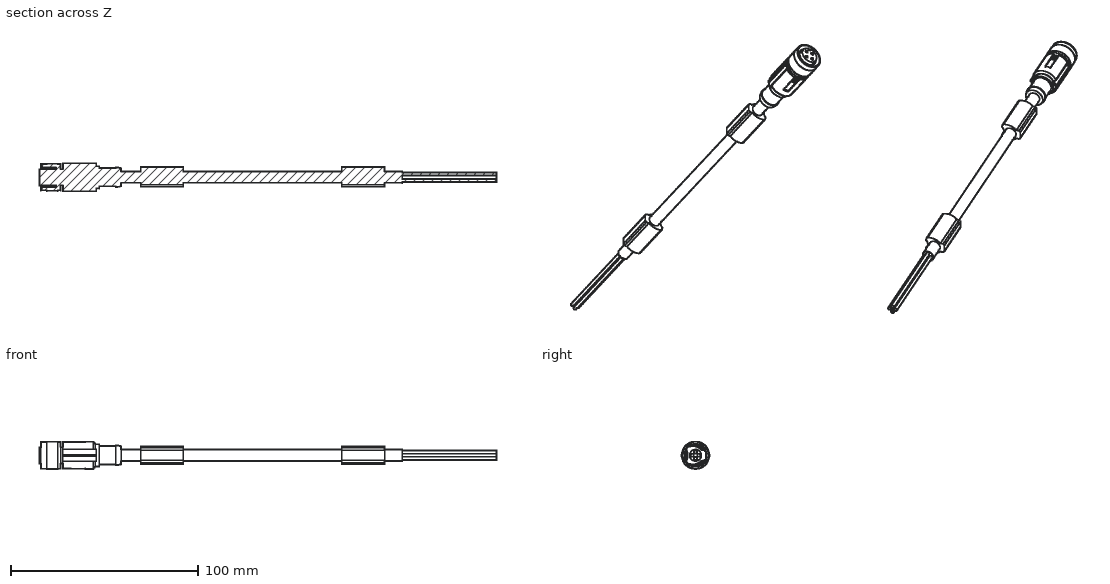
import cadquery as cq

TOTAL_LENGTH = 244.0
NUT_START = 0.8
NUT_BAND_START = 3.9
NUT_BAND_END = 9.8
NUT_END = 11.4
BODY_START = 12.6
CHAMFER_START = 28.8
CHAMFER_END = 29.8
BODY_END = 30.5
FLANGE_END = 32.0
BEAD_START = 40.8
BEAD_FLAT_END = 41.5
BOOT_END = 43.6
HOLDER_STARTS = (54.0, 161.3)
HOLDER_LENGTH = 22.9
JACKET_END = 193.7

NUT_RADIUS = 7.2
NUT_BAND_RADIUS = 7.35
NUT_MOUTH_RADIUS = 6.7
NUT_BORE_RADIUS = 5.1
NUT_MOUTH_DEPTH = 0.9
NUT_BORE_END = 9.0
INSERT_RADIUS = 4.4
CONTACT_COUNT = 4
CONTACT_START_ANGLE = 45
CONTACT_CIRCLE_RADIUS = 2.5
CONTACT_DIAMETER = 1.4
CONTACT_DEPTH = 6.0
KEYWAY_WIDTH = 1.2
KEYWAY_DEPTH = 0.7

BODY_RADIUS = 7.35
BODY_TAIL_RADIUS = 6.2
SIDE_PAD_RADIUS = 7.0
SIDE_PAD_HALF_HEIGHT = 3.2
SIDE_RIB_REACH = 7.5
SIDE_RIB_THICKNESS = 0.8
SLOT_WIDTH = 3.0
SLOT_LENGTH = 12.0
SLOT_FLOOR = 6.5
RIDGE_COUNT = 3
RIDGE_PITCH = 1.4
RIDGE_LENGTH = 0.7
RIDGE_HEIGHT = 0.4

FLANGE_RADIUS = 6.0
BOOT_RADIUS = 5.05
BEAD_RADIUS = 5.4
BOOT_END_RADIUS = 4.9

JACKET_RADIUS = 3.1
WIRE_COUNT = 4
WIRE_RADIUS = 0.85
WIRE_CIRCLE_RADIUS = 2 * WIRE_RADIUS
WIRE_EMBED = 2.0

HOLDER_ARCH_FRONT = (-4.1, 4.5)
HOLDER_ARCH_CROWN = (-1.4, 4.9)
HOLDER_FRONT_REACH = 5.1
HOLDER_SHOULDER = (-4.8, 4.0)
HOLLOW_HALF_HEIGHT = 2.6
HOLLOW_DEPTH = 1.1
TONGUE_START = 3.3
TONGUE_FLAT_END = 4.8
TONGUE_END = 5.6
TONGUE_HALF_HEIGHT = 2.8
TONGUE_TIP_HALF_HEIGHT = 2.0


def cross_section(x):
    """Workplane across the cable at x: local x is +Y and local y is +Z."""
    return cq.Workplane("YZ", origin=(x, 0, 0))


def rod(start, end, radius):
    return cross_section(start).circle(radius).extrude(end - start)


def block(start, end, y_range, z_range):
    """Box between two stations along X, with given Y and Z limits."""
    return cq.Workplane("XY").box(
        end - start, y_range[1] - y_range[0], z_range[1] - z_range[0], centered=False
    ).translate((start, y_range[0], z_range[0]))


def turned(profile):
    """Solid of revolution about X from (x, radius) points."""
    return cq.Workplane("XY").polyline(profile).close().revolve(360, (0, 0, 0), (1, 0, 0))


def coupling_nut():
    return turned([
        (NUT_START, NUT_MOUTH_RADIUS),
        (NUT_START, NUT_RADIUS),
        (NUT_BAND_START, NUT_RADIUS),
        (NUT_BAND_START, NUT_BAND_RADIUS),
        (NUT_BAND_END, NUT_BAND_RADIUS),
        (NUT_BAND_END, NUT_RADIUS),
        (NUT_END, NUT_RADIUS),
        (NUT_END, 0),
        (NUT_BORE_END, 0),
        (NUT_BORE_END, NUT_BORE_RADIUS),
        (NUT_START + NUT_MOUTH_DEPTH, NUT_BORE_RADIUS),
    ])


def contact_insert():
    """Insert that stands inside the nut and carries on as the neck behind it."""
    insert = rod(0, BODY_START, INSERT_RADIUS)
    contacts = (
        cross_section(0)
        .polarArray(CONTACT_CIRCLE_RADIUS, CONTACT_START_ANGLE, 360, CONTACT_COUNT)
        .circle(CONTACT_DIAMETER / 2)
        .extrude(CONTACT_DEPTH)
    )
    keyway = block(
        0,
        CONTACT_DEPTH,
        (-KEYWAY_WIDTH / 2, KEYWAY_WIDTH / 2),
        (INSERT_RADIUS - KEYWAY_DEPTH, INSERT_RADIUS + KEYWAY_DEPTH),
    )
    return insert.cut(contacts).cut(keyway)


def top_slot():
    """Cutter for the slot in the top of the grip body; it leaves cross ridges on the slot floor."""
    slot_sides = (-SLOT_WIDTH / 2, SLOT_WIDTH / 2)
    slot = block(BODY_START, BODY_START + SLOT_LENGTH, slot_sides, (SLOT_FLOOR, BODY_RADIUS))
    ridge_top = SLOT_FLOOR + RIDGE_HEIGHT
    for i in range(RIDGE_COUNT):
        ridge_start = BODY_START + RIDGE_LENGTH + i * RIDGE_PITCH
        ridge_end = ridge_start + RIDGE_LENGTH
        slot = slot.cut(block(ridge_start, ridge_end, slot_sides, (SLOT_FLOOR, ridge_top)))
    return slot


def grip_body():
    shell = turned([
        (BODY_START, 0),
        (BODY_START, BODY_RADIUS),
        (CHAMFER_START, BODY_RADIUS),
        (CHAMFER_END, BODY_TAIL_RADIUS),
        (CHAMFER_END, 0),
    ])
    pad_heights = (-SIDE_PAD_HALF_HEIGHT, SIDE_PAD_HALF_HEIGHT)
    side_band = block(BODY_START, BODY_END, (-BODY_RADIUS, BODY_RADIUS), pad_heights)
    pads = rod(BODY_START, BODY_END, SIDE_PAD_RADIUS).intersect(side_band)
    ribs = block(
        BODY_START,
        BODY_END,
        (-SIDE_RIB_REACH, SIDE_RIB_REACH),
        (-SIDE_RIB_THICKNESS / 2, SIDE_RIB_THICKNESS / 2),
    )
    slot = top_slot()
    bottom_slot = slot.mirror("XY")
    return shell.cut(side_band).union(pads).union(ribs).cut(slot).cut(bottom_slot)


def strain_relief():
    return turned([
        (CHAMFER_END, 0),
        (CHAMFER_END, FLANGE_RADIUS),
        (FLANGE_END, FLANGE_RADIUS),
        (FLANGE_END, BOOT_RADIUS),
        (BEAD_START, BOOT_RADIUS),
        (BEAD_START, BEAD_RADIUS),
        (BEAD_FLAT_END, BEAD_RADIUS),
        (BOOT_END, BOOT_END_RADIUS),
        (BOOT_END, 0),
    ])


def below(point):
    """The (y, z) point mirrored to the underside."""
    return (point[0], -point[1])


def marker_holder(start):
    rim = (-HOLDER_FRONT_REACH, HOLLOW_HALF_HEIGHT)
    hollow_floor = (HOLLOW_DEPTH - HOLDER_FRONT_REACH, 0)
    tongue_root = (TONGUE_START, TONGUE_HALF_HEIGHT)
    tongue_edge = (TONGUE_FLAT_END, TONGUE_HALF_HEIGHT)
    tongue_tip = (TONGUE_END, TONGUE_TIP_HALF_HEIGHT)
    return (
        cross_section(start)
        .moveTo(*tongue_root)
        .threePointArc(HOLDER_ARCH_CROWN, HOLDER_ARCH_FRONT)
        .lineTo(*HOLDER_SHOULDER)
        .lineTo(*rim)
        .threePointArc(hollow_floor, below(rim))
        .lineTo(*below(HOLDER_SHOULDER))
        .lineTo(*below(HOLDER_ARCH_FRONT))
        .threePointArc(below(HOLDER_ARCH_CROWN), below(tongue_root))
        .lineTo(*below(tongue_edge))
        .lineTo(*below(tongue_tip))
        .lineTo(*tongue_tip)
        .lineTo(*tongue_edge)
        .close()
        .extrude(HOLDER_LENGTH)
    )


def wires():
    start = JACKET_END - WIRE_EMBED
    return (
        cross_section(start)
        .polarArray(WIRE_CIRCLE_RADIUS, 0, 360, WIRE_COUNT)
        .circle(WIRE_RADIUS)
        .extrude(TOTAL_LENGTH - start)
    )


result = coupling_nut().union(contact_insert()).union(grip_body()).union(strain_relief())
result = result.union(rod(BOOT_END, JACKET_END, JACKET_RADIUS))
for holder_start in HOLDER_STARTS:
    result = result.union(marker_holder(holder_start))
result = result.union(wires())